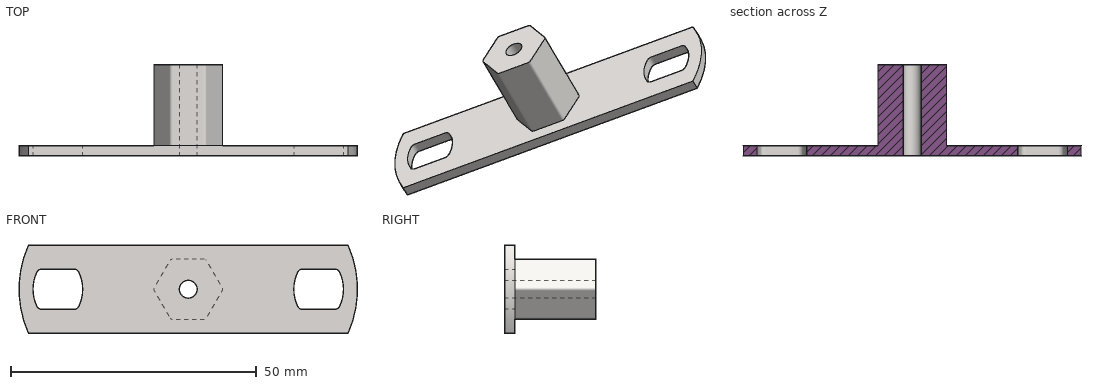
import cadquery as cq
import math

plate_length = 68.85
plate_height = 18.0
plate_thickness = 2.05
plate_end_bow = 1.9

slot_length = 10.05
slot_height = 8.1
slot_end_bow = 1.1
slot_corner_radius = 1.0
slot_offset = 26.5

total_depth = 18.5
stud_across_flats = 12.25
stud_edge_radius = 0.6
hole_diameter = 3.6

stud_length = total_depth - plate_thickness
stud_corner_diameter = stud_across_flats / math.cos(math.radians(30))


def bowed_bar(length, height, bow, thickness):
    """Bar with straight top and bottom and outward arcs at both ends, from Y = 0 to +Y."""
    half_length = length / 2
    half_height = height / 2
    corner_x = half_length - bow
    return (
        cq.Workplane("XZ")
        .moveTo(-corner_x, -half_height)
        .lineTo(corner_x, -half_height)
        .threePointArc((half_length, 0), (corner_x, half_height))
        .lineTo(-corner_x, half_height)
        .threePointArc((-half_length, 0), (-corner_x, -half_height))
        .close()
        .extrude(-thickness)
    )


plate = bowed_bar(plate_length, plate_height, plate_end_bow, plate_thickness)

slot = bowed_bar(slot_length, slot_height, slot_end_bow, plate_thickness)
slot = slot.edges("|Y").fillet(slot_corner_radius)
for side in (-1, 1):
    plate = plate.cut(slot.translate((side * slot_offset, 0, 0)))

stud = (
    cq.Workplane("XZ", origin=(0, plate_thickness, 0))
    .polygon(6, stud_corner_diameter)
    .extrude(-stud_length)
    .edges("|Y")
    .fillet(stud_edge_radius)
)

hole = cq.Workplane("XZ").circle(hole_diameter / 2).extrude(-total_depth)

result = plate.union(stud).cut(hole)